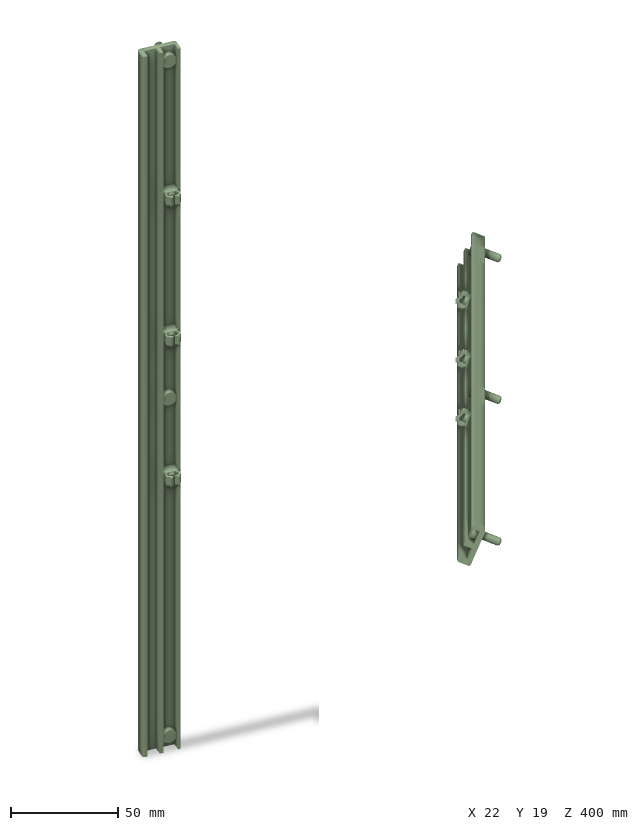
import cadquery as cq

RAIL_LENGTH = 400.0
RAIL_DEPTH = 7.0
RAIL_HEIGHT = 19.0
WEB_THICKNESS = 2.5
TOP_FLANGE = 1.5
BOTTOM_FLANGE = 2.5
MIDDLE_FLANGE = 2.0
CORNER_RADIUS = 1.0
CHANNEL_HEIGHT = 7.0
CHANNEL_Y = RAIL_HEIGHT / 2 - TOP_FLANGE - CHANNEL_HEIGHT / 2
GROOVE_TOP = CHANNEL_Y - CHANNEL_HEIGHT / 2 - MIDDLE_FLANGE
GROOVE_BOTTOM = -RAIL_HEIGHT / 2 + BOTTOM_FLANGE

SCREW_END_INSET = 7.0
SCREW_HEIGHTS = (SCREW_END_INSET, RAIL_LENGTH / 2, RAIL_LENGTH - SCREW_END_INSET)
SHANK_DIAMETER = 4.0
SCREW_HOLE_DIAMETER = 4.5
SHANK_LENGTH = 12.0
SHANK_CHAMFER = 1.0
HEAD_DIAMETER = 7.0
HEAD_THICKNESS = 3.0

CLIP_COUNT = 3
CLIP_PITCH = 80.0
LOWEST_CLIP_Z = 157.5
CLIP_HEIGHTS = [LOWEST_CLIP_Z + i * CLIP_PITCH for i in range(CLIP_COUNT)]
CLIP_WIDTH = 5.0
SHEET = 1.0
CLIP_REACH = 5.5
CLIP_BASE_HALF = 2.5
CLIP_BULGE_HALF = 3.0
CLIP_NECK_HALF = 1.0
CLIP_LIP_HALF = 2.0
BULGE_START = 2.0
BULGE_END = 3.5
NECK_REACH = 4.5

PEG_DIAMETER = 2.0
PEG_HEAD_DIAMETER = 4.0
PEG_HEAD_THICKNESS = 1.0


def rod(diameter, start_x, end_x, z):
    """Cylinder along X on the channel's centre line."""
    plane = cq.Plane(origin=(start_x, CHANNEL_Y, z), xDir=(0, 1, 0), normal=(1, 0, 0))
    return cq.Workplane(plane).circle(diameter / 2).extrude(end_x - start_x)


def block(x_min, x_max, y_min, y_max):
    """Full-length bar between the given X and Y limits."""
    bar = cq.Workplane("XY").box(x_max - x_min, y_max - y_min, RAIL_LENGTH, centered=False)
    return bar.translate((x_min, y_min, 0))


def make_rail():
    """Rounded bar with a screw channel and a groove below it, both open towards +X."""
    rail = block(0, RAIL_DEPTH, -RAIL_HEIGHT / 2, RAIL_HEIGHT / 2).edges("|Z").fillet(CORNER_RADIUS)
    channel_top = CHANNEL_Y + CHANNEL_HEIGHT / 2
    rail = rail.cut(block(WEB_THICKNESS, RAIL_DEPTH, channel_top - CHANNEL_HEIGHT, channel_top))
    rail = rail.cut(block(WEB_THICKNESS, RAIL_DEPTH, GROOVE_BOTTOM, GROOVE_TOP))
    for z in SCREW_HEIGHTS:
        rail = rail.cut(rod(SCREW_HOLE_DIAMETER, 0, WEB_THICKNESS, z))
    return rail


def make_screw(z):
    """Screw pointing towards -X, its head seated on the inside of the web."""
    shank = rod(SHANK_DIAMETER, WEB_THICKNESS - SHANK_LENGTH, WEB_THICKNESS, z)
    shank = shank.faces("<X").chamfer(SHANK_CHAMFER)
    return shank.union(rod(HEAD_DIAMETER, WEB_THICKNESS, WEB_THICKNESS + HEAD_THICKNESS, z))


def make_clip(z):
    """Strip bent from lip to lip: lip, neck, bulge and base, mirrored about the centre line."""
    half_centre_line = [
        (CLIP_REACH - SHEET / 2, CLIP_LIP_HALF),
        (NECK_REACH, CLIP_NECK_HALF),
        (BULGE_END, CLIP_BULGE_HALF),
        (BULGE_START, CLIP_BULGE_HALF),
        (SHEET / 2, CLIP_BASE_HALF),
    ]
    other_half = [(x, -y) for x, y in reversed(half_centre_line)]
    clip = (
        cq.Workplane("XY", origin=(RAIL_DEPTH, CHANNEL_Y, z - CLIP_WIDTH / 2))
        .polyline(half_centre_line + other_half)
        .offset2D(SHEET / 2)
        .extrude(CLIP_WIDTH)
    )
    return clip.cut(rod(PEG_DIAMETER, RAIL_DEPTH, RAIL_DEPTH + SHEET, z))


def make_holder(z):
    """Block in the channel with a peg through the clip base and a head inside the clip."""
    head_start = RAIL_DEPTH + SHEET
    holder = cq.Workplane("XY").box(RAIL_DEPTH - WEB_THICKNESS, CHANNEL_HEIGHT, CLIP_WIDTH)
    holder = holder.translate(((WEB_THICKNESS + RAIL_DEPTH) / 2, CHANNEL_Y, z))
    holder = holder.union(rod(PEG_DIAMETER, RAIL_DEPTH, head_start, z))
    return holder.union(rod(PEG_HEAD_DIAMETER, head_start, head_start + PEG_HEAD_THICKNESS, z))


rail = make_rail()
screws = [make_screw(z) for z in SCREW_HEIGHTS]
clips = [make_clip(z) for z in CLIP_HEIGHTS]
holders = [make_holder(z) for z in CLIP_HEIGHTS]

result = cq.Compound.makeCompound([body.solids().val() for body in [rail, *screws, *holders, *clips]])